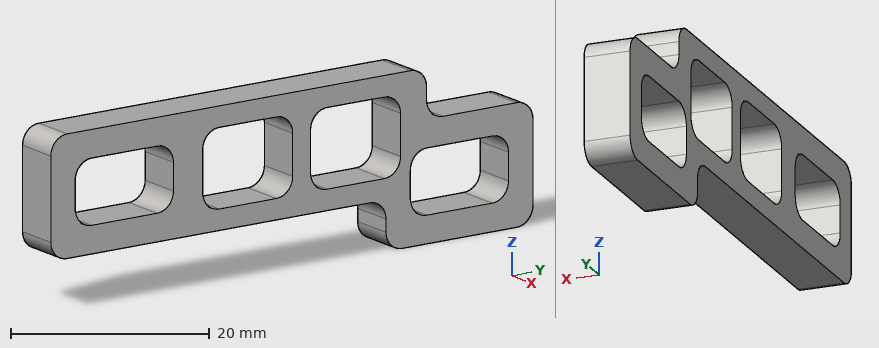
import cadquery as cq

thickness = 5.0
total_length = 59.02
section_height = 13.0
total_height = 18.38
block_length = 18.0
bar_length = 46.0
corner_radius = 2.0

frame_wall = 3.0
slot_length = 12.0
slot_height = section_height - 2 * frame_wall

window_length = 11.0
window_height = 8.5
window_pitch = 13.2
window_end_wall = 3.2
window_count = 2

y_max = total_length / 2
y_min = -y_max
z_max = total_height / 2
z_min = -z_max
bar_end_y = y_min + bar_length
block_end_y = y_max - block_length
bar_bottom_z = z_max - section_height
block_top_z = z_min + section_height
bar_middle_z = z_max - section_height / 2
block_middle_z = z_min + section_height / 2


def rounded_prism(length, height, y, z):
    """Bar along X with a rounded rectangular section centred at (y, z)."""
    return (
        cq.Workplane("YZ")
        .center(y, z)
        .rect(length, height)
        .extrude(thickness / 2, both=True)
        .edges("|X")
        .fillet(corner_radius)
    )


def stepped_plate():
    """Long bar and lower end block as one outline, all corners rounded."""
    outline = [
        (y_min, bar_bottom_z),
        (block_end_y, bar_bottom_z),
        (block_end_y, z_min),
        (y_max, z_min),
        (y_max, block_top_z),
        (bar_end_y, block_top_z),
        (bar_end_y, z_max),
        (y_min, z_max),
    ]
    return (
        cq.Workplane("YZ")
        .polyline(outline)
        .close()
        .extrude(thickness / 2, both=True)
        .edges("|X")
        .fillet(corner_radius)
    )


def cut_slots(plate):
    """Equal slots set one frame wall in from each end of the part."""
    inset = frame_wall + slot_length / 2
    block_slot = rounded_prism(slot_length, slot_height, y_max - inset, block_middle_z)
    bar_slot = rounded_prism(slot_length, slot_height, y_min + inset, bar_middle_z)
    return plate.cut(block_slot).cut(bar_slot)


def cut_windows(plate):
    """Row of larger windows stepping from the block end toward -Y."""
    first_y = bar_end_y - window_end_wall - window_length / 2
    for index in range(window_count):
        y = first_y - index * window_pitch
        plate = plate.cut(rounded_prism(window_length, window_height, y, bar_middle_z))
    return plate


result = cut_windows(cut_slots(stepped_plate()))